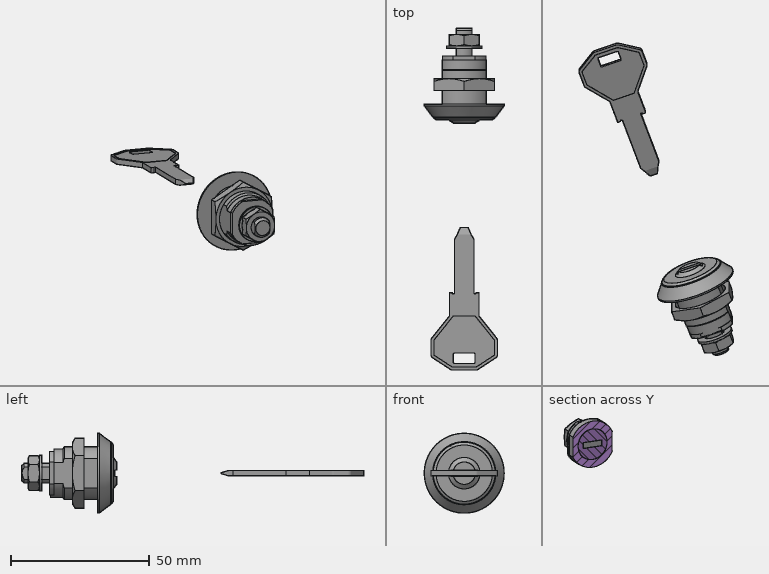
import cadquery as cq
import math


flange_radius = 14.5
flange_back_y = -0.3
flange_rim_y = -0.9
cone_front_y = -4.95
cone_front_radius = 11.45
lip_radius = 11.2
lip_front_y = -5.3
face_radius = 10.2
face_y = -6.0
thread_radius = 9.6
thread_end_y = 11.8
neck_radius = 8.85
neck_start_y = 12.3
housing_end_y = 15.6
housing_flats = 16.0
stop_end_y = 16.85
bore_radius = 5.7

head_front_y = -7.25
head_front_radius = 4.05
block_end_y = 17.2
block_flats = 15.8
stud_radius = 3.65
stud_flats = 5.8
stud_end_y = 27.2
stud_chamfer = 0.9
notch_height = 2.3
notch_depth = 0.7
keyway_width = 7.4
keyway_height = 2.1
keyway_depth = 20.0

mount_nut_flats = 22.0
mount_nut_front_y = 4.6
mount_nut_end_y = 8.9
stud_nut_flats = 11.0
washer_front_y = 19.9
washer_thickness = 0.9
washer_radius = 6.5
stud_nut_front_y = washer_front_y + washer_thickness
stud_nut_end_y = 24.9
nut_chamfer_angle = math.radians(30)

total_length = 123.8
key_bottom_y = stud_end_y - total_length
key_length = 51.7
key_thickness = 2.0
head_half_width = 12.1
head_base_half_width = 4.6
head_side_bottom = 4.9
head_side_top = 11.2
head_side_round = 1.5
head_base_round = 1.5
shank_half_width = 5.4
shank_bottom = 19.6
shoulder = 28.1
shoulder_groove_width = 0.7
shoulder_groove_depth = 0.35
blade_half_width = 3.55
taper_start = 47.4
bevel_start = 49.0
bevel_half_width = 2.6
tip_half_width = 1.4
tip_thickness = 0.4
tip_corner_length = 0.8
tip_corner_width = 0.4
rim_width = 1.1
recess_depth = 0.15
ring_hole_width = 7.8
ring_hole_height = 3.7
ring_hole_middle = 4.35
ring_hole_round = 0.4


def revolved(profile):
    """Turn (radius, y) points about the Y axis."""
    return cq.Workplane("XY").polyline(profile).close().revolve(360, (0, 0, 0), (0, 1, 0))


def cylinder(radius, start_y, end_y):
    return revolved([(0, start_y), (radius, start_y), (radius, end_y), (0, end_y)])


def bar(width, height, start_y, end_y):
    """Rectangular bar along the Y axis, centred in X and Z."""
    length = end_y - start_y
    return cq.Workplane("XY").box(width, length, height).translate((0, start_y + length / 2, 0))


def make_housing():
    front = revolved(
        [
            (0, flange_back_y),
            (flange_radius, flange_back_y),
            (flange_radius, flange_rim_y),
            (cone_front_radius, cone_front_y),
            (lip_radius, cone_front_y),
            (lip_radius, lip_front_y),
            (face_radius, face_y),
            (0, face_y),
        ]
    )
    barrel = revolved(
        [
            (0, flange_back_y),
            (thread_radius, flange_back_y),
            (thread_radius, thread_end_y),
            (neck_radius, neck_start_y),
            (neck_radius, housing_end_y),
            (0, housing_end_y),
        ]
    )
    barrel = barrel.intersect(bar(housing_flats, 2 * thread_radius, flange_back_y, housing_end_y))
    stop = cylinder(neck_radius, housing_end_y, stop_end_y)
    stop_cutter = bar(2 * neck_radius, 2 * neck_radius, housing_end_y, stop_end_y)
    stop = stop.cut(stop_cutter.translate((0, 0, neck_radius - block_flats / 2)))
    return front.union(barrel).union(stop).cut(cylinder(bore_radius, face_y, housing_end_y))


def make_plug():
    core = revolved(
        [
            (0, head_front_y),
            (head_front_radius, head_front_y),
            (bore_radius, face_y),
            (bore_radius, housing_end_y),
            (0, housing_end_y),
        ]
    )
    block = cylinder(neck_radius, housing_end_y, block_end_y)
    block = block.intersect(bar(block_flats, block_flats, housing_end_y, block_end_y))
    stud = cylinder(stud_radius, block_end_y, stud_end_y).faces(">Y").chamfer(stud_chamfer)
    stud = stud.intersect(bar(stud_flats, 2 * stud_radius, block_end_y, stud_end_y))
    notch = bar(2 * bore_radius, notch_height, head_front_y, head_front_y + notch_depth)
    keyway = bar(keyway_width, keyway_height, head_front_y, head_front_y + keyway_depth)
    return core.union(block).union(stud).cut(notch).cut(keyway)


def make_nut(flats, hole_radius, front_y, end_y, chamfer_front):
    """Hex nut with corners at +Z and -Z, its corners turned to cones at the ends."""
    corner_radius = flats / 2 / math.cos(math.pi / 6)
    chamfer = (corner_radius - flats / 2) * math.tan(nut_chamfer_angle)
    hexagon = [
        (corner_radius * math.sin(i * math.pi / 3), corner_radius * math.cos(i * math.pi / 3))
        for i in range(6)
    ]
    prism = cq.Workplane("XZ").polyline(hexagon).close().extrude(-(end_y - front_y))
    prism = prism.translate((0, front_y, 0))
    front_radius = flats / 2 if chamfer_front else corner_radius
    envelope = revolved(
        [
            (0, front_y),
            (front_radius, front_y),
            (corner_radius, front_y + chamfer),
            (corner_radius, end_y - chamfer),
            (flats / 2, end_y),
            (0, end_y),
        ]
    )
    return prism.intersect(envelope).cut(cylinder(hole_radius, front_y, end_y))


def make_washer():
    washer = cylinder(washer_radius, washer_front_y, stud_nut_front_y)
    return washer.cut(cylinder(stud_radius, washer_front_y, stud_nut_front_y))


def mirrored(right_side):
    """Close an outline from its right half, listed from bottom to top."""
    return right_side + [(-x, y) for x, y in reversed(right_side)]


def key_plate(right_side):
    plate = cq.Workplane("XY").polyline(mirrored(right_side)).close().extrude(key_thickness)
    return plate.translate((0, 0, -key_thickness / 2))


def key_head(top):
    """Head plate whose slanted upper sides run up to the given height."""
    side_slope = (shank_half_width - head_half_width) / (shank_bottom - head_side_top)
    top_half_width = shank_half_width + side_slope * (top - shank_bottom)
    head = key_plate(
        [
            (head_base_half_width, 0),
            (head_half_width, head_side_bottom),
            (head_half_width, head_side_top),
            (top_half_width, top),
        ]
    )
    head = head.edges("|Z").edges("<Y").fillet(head_base_round)
    return head.edges("|Z").edges("<X or >X").fillet(head_side_round)


def key_blade():
    groove_half_width = blade_half_width + shoulder_groove_width
    groove_bottom = shoulder - shoulder_groove_depth
    blade = key_plate(
        [
            (shank_half_width, shank_bottom),
            (shank_half_width, shoulder),
            (groove_half_width, shoulder),
            (groove_half_width, groove_bottom),
            (blade_half_width, groove_bottom),
            (blade_half_width, taper_start),
            (bevel_half_width, bevel_start),
            (tip_half_width + tip_corner_width, key_length - tip_corner_length),
            (tip_half_width, key_length),
        ]
    )
    thickness_profile = mirrored(
        [
            (key_thickness / 2, 0),
            (key_thickness / 2, bevel_start),
            (tip_thickness / 2, key_length),
        ]
    )
    thinned = cq.Workplane("YZ").polyline([(y, z) for z, y in thickness_profile]).close()
    return blade.intersect(thinned.extrude(shank_half_width, both=True))


def make_key():
    head = key_head(shank_bottom)
    recess_outline = key_head(shank_bottom + rim_width).faces(">Z").wires().toPending().offset2D(-rim_width)
    recess = recess_outline.extrude(-recess_depth, combine=False)
    key = head.union(key_blade()).cut(recess).cut(recess.mirror("XY"))
    ring_hole = cq.Workplane("XY").box(ring_hole_width, ring_hole_height, key_thickness)
    ring_hole = ring_hole.edges("|Z").fillet(ring_hole_round).translate((0, ring_hole_middle, 0))
    return key.cut(ring_hole).translate((0, key_bottom_y, 0))


housing = make_housing()
plug = make_plug()
mount_nut = make_nut(mount_nut_flats, thread_radius, mount_nut_front_y, mount_nut_end_y, False)
washer = make_washer()
stud_nut = make_nut(stud_nut_flats, stud_radius, stud_nut_front_y, stud_nut_end_y, True)
key = make_key()

bodies = [housing, plug, mount_nut, washer, stud_nut, key]
result = cq.Compound.makeCompound([solid for body in bodies for solid in body.solids().vals()])